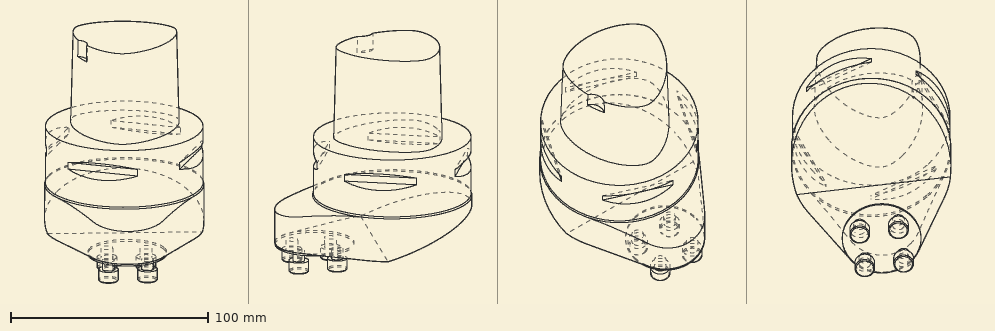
import cadquery as cq
import math


shank_height = 48.0
shank_base_diameter = 55.1
shank_lobe = 2.3
shank_taper = 1 / 20
lobe_half_span = 34.5
notch_radius = 6.8
notch_reach = 21.9
notch_depth = 8.7

flange_diameter = 80.0
flange_height = 30.2
body_diameter = 80.9
chamfer_height = 0.9

groove_z = -12.0
groove_depth = 4.6
groove_floor_height = 3.5
groove_wall_angle = 30

arm_angle = -25
arm_offset = 40.0
arm_tip_radius = 20.3
arm_bottom = -54.0
arm_top_slope = 15
relief_slope = 20
relief_start = 9.2

plate_diameter = 40.0
plate_thickness = 1.0
screw_circle_radius = 14.0
screw_count = 4
first_screw_angle = 45
stem_diameter = 6.0
stem_length = 4.9
head_diameter = 10.0
head_height = 6.0
head_chamfer = 0.6

flange_radius = flange_diameter / 2
body_radius = body_diameter / 2
body_top = -flange_height - chamfer_height
cut_margin = 11.4


def shank_section(mean_radius, z):
    """Closed three-lobed outline with one lobe on +Y, as six smooth spans."""

    def point(degrees):
        a = math.radians(degrees)
        along = mean_radius * math.cos(a) + shank_lobe * (2 * math.cos(2 * a) - math.cos(4 * a))
        across = mean_radius * math.sin(a) - shank_lobe * (2 * math.sin(2 * a) + math.sin(4 * a))
        return cq.Vector(-across, along, z)

    def tangent(degrees):
        a = math.radians(degrees)
        return cq.Vector(-math.cos(a), -math.sin(a), 0)

    def span(start, end):
        steps = 8
        points = [point(start + (end - start) * i / steps) for i in range(steps + 1)]
        return cq.Edge.makeSpline(points, tangents=[tangent(start), tangent(end)])

    edges = []
    for peak in (0, 120, 240):
        lobe_end = peak + lobe_half_span
        edges.append(span(peak - lobe_half_span, lobe_end))
        edges.append(span(lobe_end, peak + 120 - lobe_half_span))
    return cq.Wire.assembleEdges(edges)


def make_shank():
    base_radius = shank_base_diameter / 2
    top_radius = base_radius - shank_height * shank_taper / 2
    base = shank_section(base_radius, 0)
    top = shank_section(top_radius, shank_height)
    shank = cq.Workplane(cq.Solid.makeLoft([base, top], True))
    notch = (
        cq.Workplane("XY", origin=(0, -notch_reach - notch_radius, shank_height - notch_depth))
        .circle(notch_radius)
        .extrude(notch_depth + cut_margin)
    )
    return shank.cut(notch)


def make_groove():
    """Cutter for one flared groove on the +X side."""
    floor_x = flange_radius - groove_depth
    mouth_x = flange_radius + cut_margin
    floor_half = groove_floor_height / 2
    mouth_half = floor_half + (mouth_x - floor_x) * math.tan(math.radians(groove_wall_angle))
    return (
        cq.Workplane("XZ")
        .polyline([
            (floor_x, groove_z - floor_half),
            (mouth_x, groove_z - mouth_half),
            (mouth_x, groove_z + mouth_half),
            (floor_x, groove_z + floor_half),
        ])
        .close()
        .extrude(flange_radius, both=True)
    )


def make_flange():
    flange = (
        cq.Workplane("XZ")
        .polyline([
            (0, 0),
            (flange_radius, 0),
            (flange_radius, -flange_height),
            (body_radius, body_top),
            (0, body_top),
        ])
        .close()
        .revolve(360, (0, 0), (0, 1))
    )
    groove = make_groove()
    for angle in (45, 135, 225, 315):
        flange = flange.cut(groove.rotate((0, 0, 0), (0, 0, 1), angle))
    return flange


def make_arm():
    """Body and arm along +X: a tangent outline under a conical top, with the relief flat."""
    tangent_angle = math.acos((body_radius - arm_tip_radius) / arm_offset)
    cosine = math.cos(tangent_angle)
    sine = math.sin(tangent_angle)
    tip_x = arm_offset + arm_tip_radius * cosine
    tip_y = arm_tip_radius * sine
    outline = (
        cq.Workplane("XY", origin=(0, 0, arm_bottom))
        .moveTo(body_radius * cosine, body_radius * sine)
        .threePointArc((-body_radius, 0), (body_radius * cosine, -body_radius * sine))
        .lineTo(tip_x, -tip_y)
        .threePointArc((arm_offset + arm_tip_radius, 0), (tip_x, tip_y))
        .close()
        .extrude(body_top - arm_bottom)
    )

    outer_radius = arm_offset + arm_tip_radius + cut_margin
    top_drop = (outer_radius - body_radius) * math.tan(math.radians(arm_top_slope))
    above_cone = (
        cq.Workplane("XZ")
        .polyline([
            (body_radius, body_top),
            (outer_radius, body_top - top_drop),
            (outer_radius, body_top),
        ])
        .close()
        .revolve(360, (0, 0), (0, 1))
    )

    relief_length = relief_start + body_radius + cut_margin
    relief_rise = relief_length * math.tan(math.radians(relief_slope))
    relief = (
        cq.Workplane("XZ")
        .polyline([
            (relief_start, arm_bottom),
            (relief_start - relief_length, arm_bottom + relief_rise),
            (relief_start - relief_length, arm_bottom),
        ])
        .close()
        .extrude(body_diameter, both=True)
    )
    return outline.cut(above_cone).cut(relief)


def make_screws():
    """Thin round plate under the arm tip with its ring of cap screws."""
    plate_bottom = arm_bottom - plate_thickness
    plate = (
        cq.Workplane("XY", origin=(arm_offset, 0, arm_bottom))
        .circle(plate_diameter / 2)
        .extrude(-plate_thickness)
    )
    stem = (
        cq.Workplane("XY", origin=(0, 0, plate_bottom))
        .circle(stem_diameter / 2)
        .extrude(-stem_length)
    )
    head = (
        cq.Workplane("XY", origin=(0, 0, plate_bottom - stem_length))
        .circle(head_diameter / 2)
        .extrude(-head_height)
        .faces("<Z")
        .chamfer(head_chamfer)
    )
    screw = stem.union(head)
    for i in range(screw_count):
        angle = math.radians(first_screw_angle + i * 360 / screw_count)
        screw_x = arm_offset + screw_circle_radius * math.cos(angle)
        screw_y = screw_circle_radius * math.sin(angle)
        plate = plate.union(screw.translate((screw_x, screw_y, 0)))
    return plate


arm = make_arm().union(make_screws())
arm = arm.rotate((0, 0, 0), (0, 0, 1), arm_angle)
result = make_flange().union(make_shank()).union(arm)